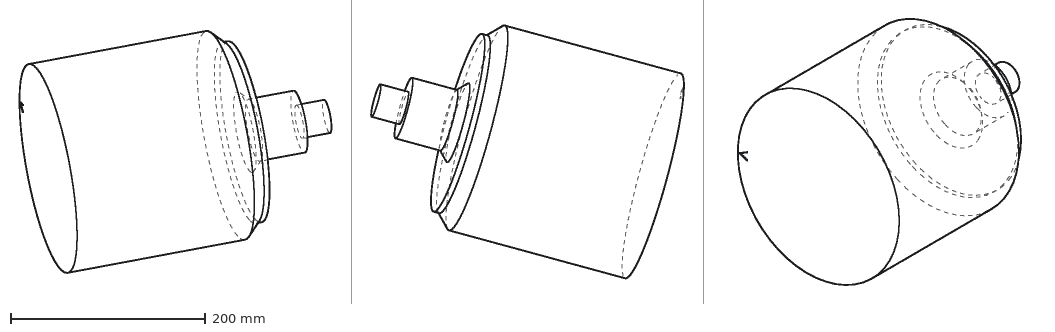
import cadquery as cq
import math

body_diameter = 219.0
rim_diameter = 190.0
collar_diameter = 65.0
spigot_diameter = 35.0

total_length = 298.5
body_length = 189.8
rim_length = 6.0
cone_length = 9.9
spigot_length = 29.8

arrow_edge_gap = 2.5
arrow_length = 10.5
arrow_width = 10.0
stroke_width = 0.35
stroke_depth = 0.5

body_radius = body_diameter / 2
rim_radius = rim_diameter / 2
collar_radius = collar_diameter / 2
spigot_radius = spigot_diameter / 2

shoulder_length = body_radius - rim_radius
cone_base_radius = collar_radius + cone_length

rim_start = body_length + shoulder_length
rim_end = rim_start + rim_length
collar_start = rim_end + cone_length
collar_end = total_length - spigot_length


def make_turned_body():
    """Solid of revolution about the Y axis, stepping down toward +Y."""
    half_profile = [
        (0, 0),
        (body_radius, 0),
        (body_radius, body_length),
        (rim_radius, rim_start),
        (rim_radius, rim_end),
        (cone_base_radius, rim_end),
        (collar_radius, collar_start),
        (collar_radius, collar_end),
        (spigot_radius, collar_end),
        (spigot_radius, total_length),
        (0, total_length),
    ]
    return cq.Workplane("XY").polyline(half_profile).close().revolve(360, (0, 0), (0, 1))


def make_arrow_cutter():
    """V-shaped stroke of constant width, symmetric about the X axis."""
    half_width = arrow_width / 2
    tip_x = arrow_edge_gap - body_radius
    tail_x = tip_x + arrow_length
    inner_shift = stroke_width * math.hypot(arrow_length, half_width) / half_width
    inner_half_width = half_width * (1 - inner_shift / arrow_length)
    outline = [
        (tip_x, 0),
        (tail_x, half_width),
        (tail_x, inner_half_width),
        (tip_x + inner_shift, 0),
        (tail_x, -inner_half_width),
        (tail_x, -half_width),
    ]
    return cq.Workplane("XZ").polyline(outline).close().extrude(-stroke_depth)


result = make_turned_body().cut(make_arrow_cutter())